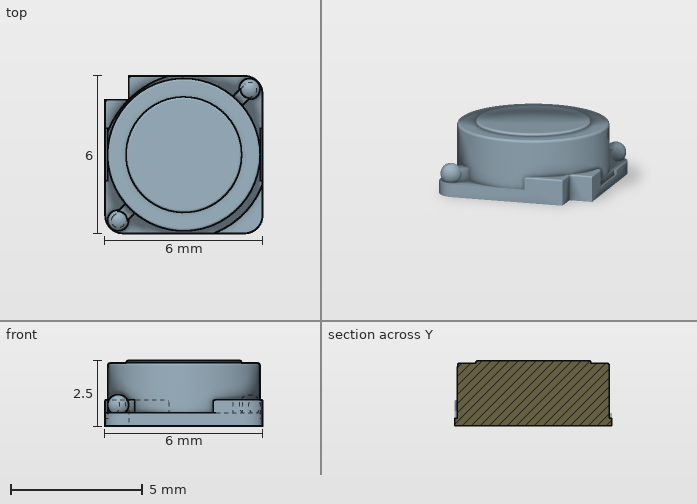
import cadquery as cq
import math

base_side = 6.0
half_side = base_side / 2
floor_height = 0.5
corner_radius = 0.7
notch_side = 0.9

block_top = 1.0
block_edge_fillet = 0.06
notched_block_clearance_radius = 3.6
notched_block_clearance_shift = 0.45
plain_block_clearance_radius = 3.2
plain_block_clearance_shift = 0.0

slot_depth = 0.1
slot_length = 2.0
slot_floor = 0.3

drum_radius = 2.9
drum_top = 2.4
disc_radius = 2.2
disc_top = 2.5
rim_fillet = 0.1

ball_offset = 2.5
ball_radius = 0.4
ball_height = 0.8
lead_width = 0.5
diagonal_angle = 45


def base_body(height):
    """Plate with three rounded corners and a square notch at (-X, +Y)."""
    body = cq.Workplane("XY").rect(base_side, base_side).extrude(height)
    body = body.edges("|Z").edges(">X or <Y").fillet(corner_radius)
    notch_center = half_side - notch_side / 2
    notch = (
        cq.Workplane("XY")
        .center(-notch_center, notch_center)
        .rect(notch_side, notch_side)
        .extrude(height)
    )
    return body.cut(notch)


def corner_block(x_sign, y_sign, clearance_radius, clearance_shift):
    """Quadrant of the base outline raised to block_top, cleared around the drum."""
    body = base_body(block_top).faces(">Z").edges().fillet(block_edge_fillet)
    quadrant = (
        cq.Workplane("XY")
        .center(x_sign * half_side / 2, y_sign * half_side / 2)
        .rect(half_side, half_side)
        .extrude(block_top)
    )
    clearance = (
        cq.Workplane("XY")
        .center(-x_sign * clearance_shift, -y_sign * clearance_shift)
        .circle(clearance_radius)
        .extrude(block_top)
    )
    return body.intersect(quadrant).cut(clearance)


def clip_slot(x_sign):
    """Shallow slot, open upwards, in the middle of one X side."""
    return (
        cq.Workplane("XY", origin=(x_sign * (half_side - slot_depth / 2), 0, slot_floor))
        .rect(slot_depth, slot_length)
        .extrude(block_top - slot_floor)
    )


def drum():
    """Round body with a smaller disc on top, both with rounded rims."""
    body = cq.Workplane("XY").circle(drum_radius).extrude(drum_top)
    body = body.faces(">Z").edges().fillet(rim_fillet)
    disc = cq.Workplane("XY").circle(disc_radius).extrude(disc_top)
    disc = disc.faces(">Z").edges().fillet(rim_fillet)
    return body.union(disc)


def leads():
    """Flat bar on the diagonal that joins both ball centres through the drum."""
    diagonal_length = 2 * math.hypot(ball_offset, ball_offset)
    return (
        cq.Workplane("XY", origin=(0, 0, floor_height))
        .rect(diagonal_length, lead_width)
        .extrude(block_top - floor_height)
        .rotate((0, 0, 0), (0, 0, 1), diagonal_angle)
    )


def solder_ball(sign):
    """Ball on the diagonal, sunk slightly into the base floor."""
    center = (sign * ball_offset, sign * ball_offset, ball_height)
    return cq.Workplane("XY").sphere(ball_radius).translate(center)


result = base_body(floor_height)
result = result.union(
    corner_block(-1, 1, notched_block_clearance_radius, notched_block_clearance_shift)
)
result = result.union(
    corner_block(1, -1, plain_block_clearance_radius, plain_block_clearance_shift)
)
for side in (-1, 1):
    result = result.cut(clip_slot(side))
result = result.union(drum()).union(leads())
for side in (-1, 1):
    result = result.union(solder_ball(side))